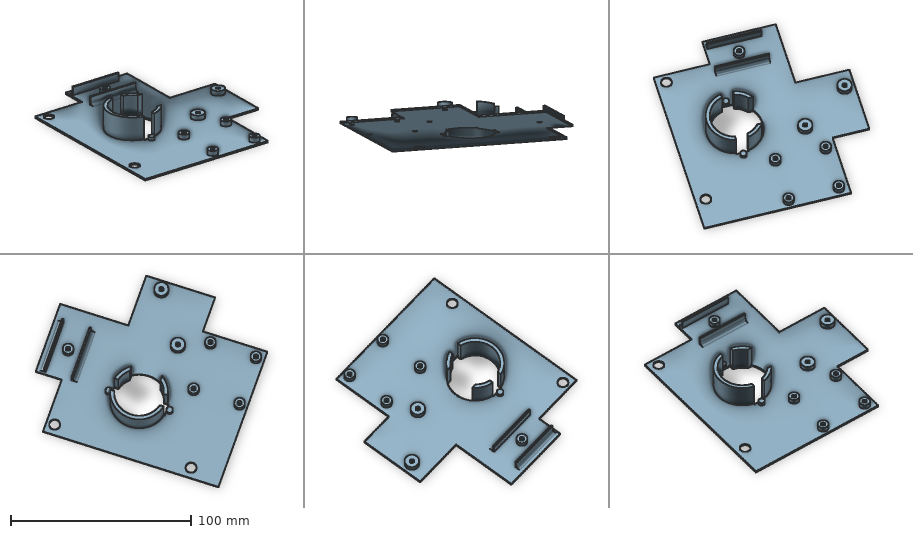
import cadquery as cq

plate_length = 118.0
plate_depth = 106.0
plate_thickness = 1.0
left_notch_width = 15.2
left_notch_depth = 32.5
left_wing_top = 74.8
tab_left = 39.9
tab_right = 80.2
right_wing_top = 84.7

clearance_diameter = 6.0
clearance_y = 6.0
clearance_xs = (20.1, 100.0)

standoff_height = 3.0
standoff_bore = 2.5
small_standoff_diameter = 6.0
small_standoff_points = [(13.1, 49.9), (86.6, 49.9), (113.5, 49.9), (86.6, 79.0), (113.3, 79.0)]
large_standoff_diameter = 8.0
large_standoff_points = [(50.7, 100.1), (70.0, 71.9)]

rail_y = 33.7
rail_length = 31.3
rail_thickness = 1.0
rail_height = 5.0
rail_foot_radius = 2.1
left_rail_inner_x = 5.4
right_rail_inner_x = 20.5

socket_x = 60.1
socket_y = 34.0
socket_radius = 16.0
socket_wall = 2.2
socket_top = 15.0
side_slot_width = 7.0
upper_slot_width = 17.9

peg_diameter = 3.7
peg_height = 2.0


def cylinder(point, diameter, bottom, height):
    return cq.Workplane("XY", origin=(*point, bottom)).circle(diameter / 2).extrude(height)


def make_plate():
    outline = [
        (left_notch_width, 0),
        (plate_length, 0),
        (plate_length, right_wing_top),
        (tab_right, right_wing_top),
        (tab_right, plate_depth),
        (tab_left, plate_depth),
        (tab_left, left_wing_top),
        (0, left_wing_top),
        (0, left_notch_depth),
        (left_notch_width, left_notch_depth),
    ]
    plate = cq.Workplane("XY").polyline(outline).close().extrude(plate_thickness)
    for x in clearance_xs:
        plate = plate.cut(cylinder((x, clearance_y), clearance_diameter, 0, plate_thickness))
    return plate.cut(cylinder((socket_x, socket_y), 2 * socket_radius, 0, plate_thickness))


def make_side_slot():
    """Slot across the socket, through its walls and the plate."""
    return (
        cq.Workplane("XY", origin=(socket_x, socket_y, 0))
        .rect(2 * socket_radius, side_slot_width)
        .extrude(socket_top)
    )


def make_socket_walls():
    """Left, right and lower wall segments, from the plate's underside up."""
    ring = (
        cq.Workplane("XY", origin=(socket_x, socket_y, 0))
        .circle(socket_radius)
        .circle(socket_radius - socket_wall)
        .extrude(socket_top)
    )
    upper_slot = (
        cq.Workplane("XY", origin=(socket_x, socket_y + socket_radius / 2, 0))
        .rect(upper_slot_width, socket_radius)
        .extrude(socket_top)
    )
    return ring.cut(make_side_slot()).cut(upper_slot)


def make_rail(inner_x, outward):
    """Upright rail; outward is -1 or +1, the X direction of its foot."""
    outer_x = inner_x + outward * rail_thickness
    foot_x = outer_x + outward * rail_foot_radius
    foot_top = plate_thickness + rail_foot_radius
    arc_offset = rail_foot_radius * (1 - 0.5**0.5)
    rail_top = plate_thickness + rail_height
    return (
        cq.Workplane("XZ", origin=(0, rail_y, 0))
        .moveTo(inner_x, plate_thickness)
        .lineTo(inner_x, rail_top)
        .lineTo(outer_x, rail_top)
        .lineTo(outer_x, foot_top)
        .threePointArc(
            (outer_x + outward * arc_offset, plate_thickness + arc_offset),
            (foot_x, plate_thickness),
        )
        .close()
        .extrude(-rail_length)
    )


def make_base():
    base = make_plate().cut(make_side_slot())

    standoffs = [(point, small_standoff_diameter) for point in small_standoff_points]
    standoffs += [(point, large_standoff_diameter) for point in large_standoff_points]
    for point, diameter in standoffs:
        base = base.union(cylinder(point, diameter, plate_thickness, standoff_height))
        base = base.cut(cylinder(point, standoff_bore, 0, plate_thickness + standoff_height))

    base = base.union(make_rail(left_rail_inner_x, -1))
    base = base.union(make_rail(right_rail_inner_x, 1))

    peg_offset = socket_radius + peg_diameter / 2
    for side in (-1, 1):
        peg_point = (socket_x + side * peg_offset, socket_y)
        base = base.union(cylinder(peg_point, peg_diameter, plate_thickness, peg_height))
    return base.union(make_socket_walls())


base = make_base()
result = cq.Compound.makeCompound(base.solids().vals())